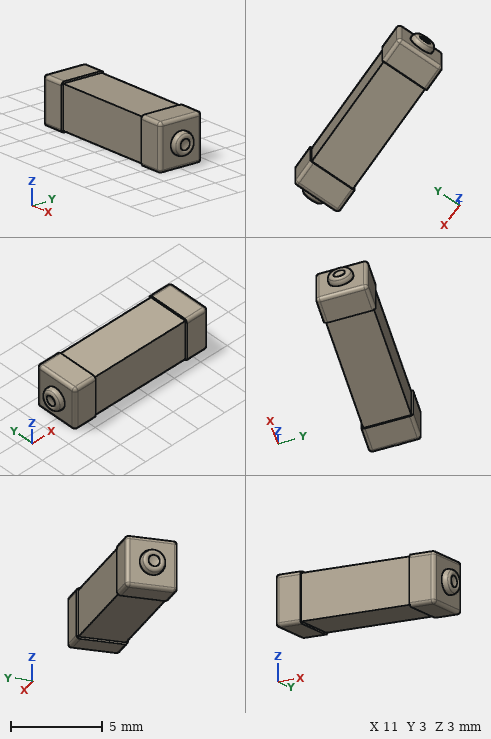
import cadquery as cq
import math

total_length = 10.98
cap_side = 3.0
body_side = 2.76

cap_length = 1.59
cap_fillet = 0.22

contact_height = 0.44
contact_base_radius = 0.71
contact_widest_radius = 0.72
contact_widest_height = 0.13
shoulder_radius = 0.65
shoulder_height = 0.33
crest_radius = 0.47
dimple_radius = 0.33
dimple_edge_height = 0.37
dimple_floor_height = 0.3

cap_face_x = total_length / 2 - contact_height
cap_inner_x = cap_face_x - cap_length


def make_body():
    """Square bar running between the two caps."""
    return cq.Workplane("XY").box(2 * cap_inner_x, body_side, body_side)


def make_cap():
    """Cap on the +X end, rounded everywhere except around its inner face."""
    cap = cq.Workplane("XY").box(cap_length, cap_side, cap_side)
    cap = cap.edges("|X or >X").fillet(cap_fillet)
    return cap.translate((cap_inner_x + cap_length / 2, 0, 0))


def make_contact():
    """Contact on the +X cap, revolved about the X axis."""
    dimple_depth = dimple_edge_height - dimple_floor_height
    sphere_radius = (dimple_radius**2 + dimple_depth**2) / (2 * dimple_depth)
    mid_radius = dimple_radius / 2
    mid_sag = sphere_radius - math.sqrt(sphere_radius**2 - mid_radius**2)
    profile = (
        cq.Workplane("XZ", origin=(cap_face_x, 0, 0))
        .lineTo(0, contact_base_radius)
        .threePointArc((contact_widest_height, contact_widest_radius), (shoulder_height, shoulder_radius))
        .threePointArc((contact_height, crest_radius), (dimple_edge_height, dimple_radius))
        .threePointArc((dimple_floor_height + mid_sag, mid_radius), (dimple_floor_height, 0))
        .close()
    )
    return profile.revolve(360, (0, 0, 0), (1, 0, 0))


end_piece = make_cap().union(make_contact())
result = make_body().union(end_piece).union(end_piece.mirror("YZ"))